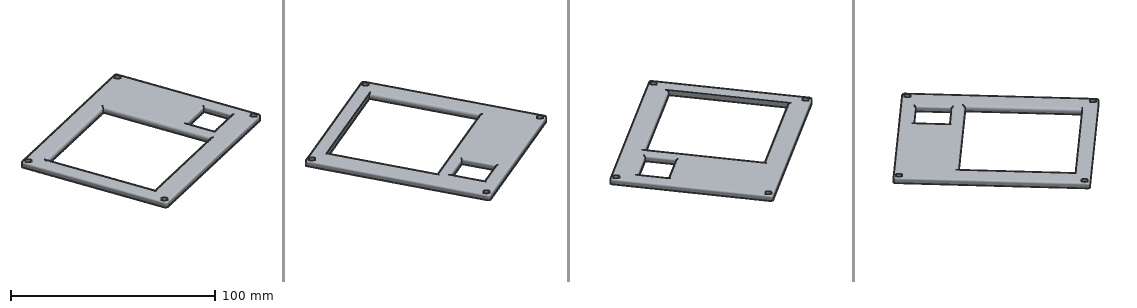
import cadquery as cq

plate_width = 81.5
plate_depth = 96.5
plate_thickness = 3.0
corner_radius = 1.5
rim_fillet = 1.0

hole_diameter = 3.2
hole_inset = 2.75

key_width = 59.5
key_depth = 57.3
key_fillet = 1.5
key_center_x = -0.35
key_front_margin = 7.6
key_center_y = -plate_depth / 2 + key_front_margin + key_depth / 2

display_width = 15.4
display_depth = 17.5
display_fillet = 1.0
display_center_x = 20.4
display_center_y = 32.15

pick_margin = 0.1


def rounded_plate():
    """Plate with rounded corners and a rounded upper rim."""
    plate = cq.Workplane("XY").box(
        plate_width, plate_depth, plate_thickness, centered=(True, True, False)
    )
    plate = plate.edges("|Z").fillet(corner_radius)
    return plate.faces(">Z").edges().fillet(rim_fillet)


def cut_opening(body, width, depth, center_x, center_y, fillet_radius, round_front):
    """Cut a rectangular through opening and round its upper edges, the front one only if asked."""
    opening = (
        cq.Workplane("XY")
        .center(center_x, center_y)
        .rect(width, depth)
        .extrude(plate_thickness)
    )
    body = body.cut(opening)

    front_offset = -pick_margin if round_front else pick_margin
    upper_edges = cq.selectors.BoxSelector(
        (
            center_x - width / 2 - pick_margin,
            center_y - depth / 2 + front_offset,
            plate_thickness - pick_margin,
        ),
        (
            center_x + width / 2 + pick_margin,
            center_y + depth / 2 + pick_margin,
            plate_thickness + pick_margin,
        ),
    )
    return body.edges(upper_edges).fillet(fillet_radius)


def screw_holes():
    """Through cylinders at the four corners."""
    return (
        cq.Workplane("XY")
        .rect(plate_width - 2 * hole_inset, plate_depth - 2 * hole_inset, forConstruction=True)
        .vertices()
        .circle(hole_diameter / 2)
        .extrude(plate_thickness)
    )


result = rounded_plate()
result = cut_opening(
    result, key_width, key_depth, key_center_x, key_center_y, key_fillet, round_front=False
)
result = cut_opening(
    result,
    display_width,
    display_depth,
    display_center_x,
    display_center_y,
    display_fillet,
    round_front=True,
)
result = result.cut(screw_holes())